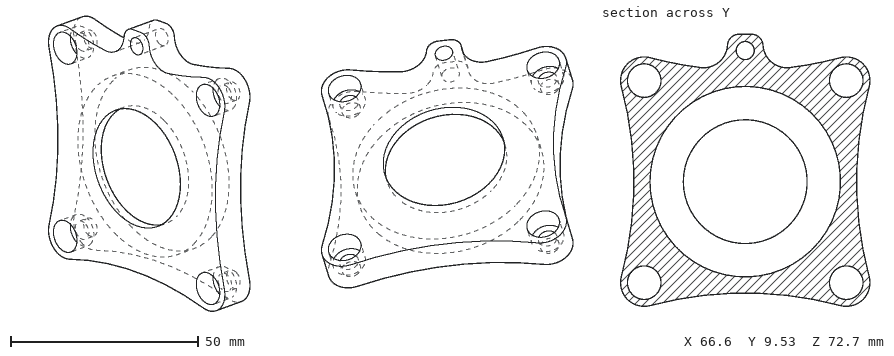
import cadquery as cq
import math

thickness = 9.53
half_width = 33.32
corner_radius = 6.35
side_radius = 97.5

tab_top = 39.39
tab_flat = 3.2
tab_corner_radius = 3.175
tab_fillet_radius = 6.35
tab_hole_diameter = 4.76
tab_hole_height = 35.0

bore_diameter = 33.0
lip_thickness = 3.175
recess_diameter = 50.8

screw_diameter = 5.1
counterbore_diameter = 8.9
counterbore_depth = 6.35

corner_offset = half_width - corner_radius
side_center = corner_offset + math.sqrt((side_radius + corner_radius) ** 2 - corner_offset**2)
side_angle = math.asin(corner_offset / (side_radius + corner_radius))


def polar(center, radius, angle):
    """Point at the given radius and angle from a centre."""
    return (center[0] + radius * math.cos(angle), center[1] + radius * math.sin(angle))


def toward(start, end, distance):
    """Point at a distance from start along the line to end."""
    return polar(start, distance, math.atan2(end[1] - start[1], end[0] - start[0]))


def mirrored(point):
    return (-point[0], point[1])


def circle_intersection(first, first_radius, second, second_radius):
    """Crossing point of two circles that lies right of the line from first to second."""
    distance = math.dist(first, second)
    along = (first_radius**2 - second_radius**2 + distance**2) / (2 * distance)
    direction = math.atan2(second[1] - first[1], second[0] - first[0])
    return polar(first, first_radius, direction - math.acos(along / first_radius))


def plate_blank():
    """Four rounded corners joined by tangent hollow sides, with the tab on top."""
    upper_corner = (corner_offset, corner_offset)
    lower_corner = (corner_offset, -corner_offset)
    top_center = (0, side_center)
    right_center = (side_center, 0)
    waist = side_center - side_radius

    tab_corner = (tab_flat / 2, tab_top - tab_corner_radius)
    fillet_center = circle_intersection(
        tab_corner, tab_corner_radius + tab_fillet_radius, top_center, side_radius - tab_fillet_radius
    )
    tab_flat_end = (tab_flat / 2, tab_top)
    tab_corner_mid = polar(tab_corner, tab_corner_radius, math.pi / 4)
    tab_corner_end = toward(tab_corner, fillet_center, tab_corner_radius)
    fillet_mid = polar(fillet_center, tab_fillet_radius, -3 * math.pi / 4)
    fillet_end = toward(top_center, fillet_center, side_radius)

    top_end = toward(upper_corner, top_center, corner_radius)
    fillet_angle = math.atan2(fillet_center[0], side_center - fillet_center[1])
    top_mid = polar(top_center, side_radius, (fillet_angle + side_angle) / 2 - math.pi / 2)
    upper_mid = polar(upper_corner, corner_radius, math.pi / 4)
    right_start = toward(upper_corner, right_center, corner_radius)
    right_end = toward(lower_corner, right_center, corner_radius)
    lower_mid = polar(lower_corner, corner_radius, -math.pi / 4)
    bottom_start = (top_end[0], -top_end[1])

    outline = (
        cq.Workplane("XZ")
        .moveTo(*mirrored(tab_flat_end))
        .lineTo(*tab_flat_end)
        .threePointArc(tab_corner_mid, tab_corner_end)
        .threePointArc(fillet_mid, fillet_end)
        .threePointArc(top_mid, top_end)
        .threePointArc(upper_mid, right_start)
        .threePointArc((waist, 0), right_end)
        .threePointArc(lower_mid, bottom_start)
        .threePointArc((0, -waist), mirrored(bottom_start))
        .threePointArc(mirrored(lower_mid), mirrored(right_end))
        .threePointArc((-waist, 0), mirrored(right_start))
        .threePointArc(mirrored(upper_mid), mirrored(top_end))
        .threePointArc(mirrored(top_mid), mirrored(fillet_end))
        .threePointArc(mirrored(fillet_mid), mirrored(tab_corner_end))
        .threePointArc(mirrored(tab_corner_mid), mirrored(tab_flat_end))
        .close()
    )
    return outline.extrude(-thickness)


def cylinder(x, z, diameter, start, end):
    """Cylinder along Y between two depths behind the front face."""
    plane = cq.Workplane("XZ", origin=(x, start, z))
    return plane.circle(diameter / 2).extrude(start - end)


result = plate_blank()

result = result.cut(cylinder(0, 0, bore_diameter, 0, thickness))
result = result.cut(cylinder(0, 0, recess_diameter, lip_thickness, thickness))

result = result.cut(cylinder(0, tab_hole_height, tab_hole_diameter, 0, thickness))

for x in (-corner_offset, corner_offset):
    for z in (-corner_offset, corner_offset):
        result = result.cut(cylinder(x, z, screw_diameter, 0, thickness))
        result = result.cut(cylinder(x, z, counterbore_diameter, 0, counterbore_depth))